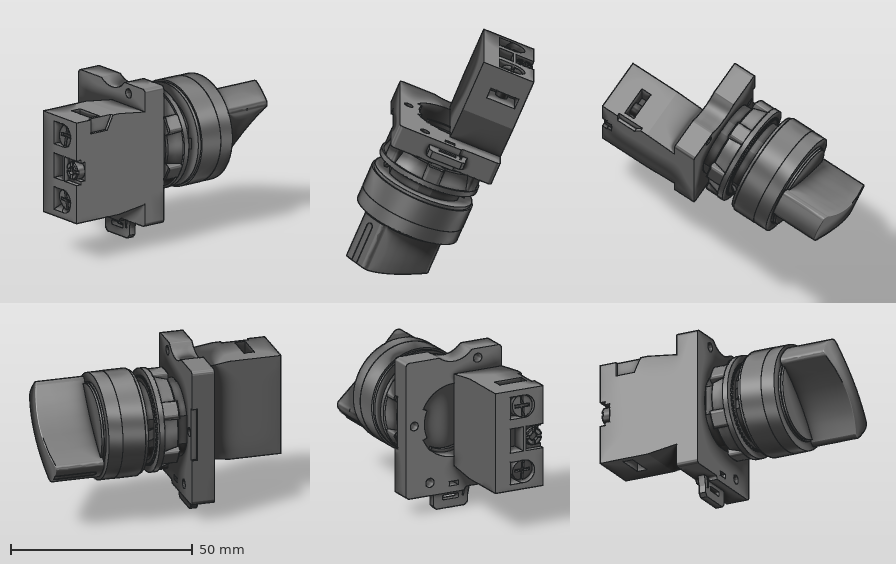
import cadquery as cq
import math


PLATE_WIDTH = 30.0
PLATE_THICKNESS = 6.5
PLATE_HEIGHT = 39.5
PLATE_TOP = 19.6
PLATE_STEP = 1.0
PLATE_BOTTOM = PLATE_TOP - PLATE_HEIGHT
PLATE_CORNER = 1.1
NOTCH_RADIUS = 7.4
NOTCH_FLOOR = 17.0
NOTCH_LIP_RADIUS = 1.0
BOTTOM_STEP_X = 3.4
FIXING_HOLE_DIAMETER = 2.6
FIXING_HOLES = [(7.5, 16.85), (-7.5, -17.15)]
SIDE_HOLE_DIAMETER = 2.5
SIDE_HOLE_X = -12.4
LATCH_WINDOW = (2.8, 1.3)
LATCH_WINDOW_Z = -18.4
SIDE_RECESS_HEIGHT = 15.1
SIDE_RECESS_LENGTH = 1.6
SIDE_RECESS_DEPTH = 0.8

BORE_RADIUS = 10.6
KEY_RADIUS = 9.25
KEY_HALF_ANGLE = 25.0
LIP_RADIUS = 9.7
LIP_HALF_ANGLE = 27.0
LIP_THICKNESS = 1.2
LIP_RECESS = 4.5

TAB_HALF_WIDTH = 5.4
TAB_BOTTOM = -25.9
TAB_CHAMFER = 1.0
TAB_FRONT_Y = -2.6
TAB_THICKNESS = 2.0
TAB_FLARE = 0.6
TAB_FLARE_START = -23.0
TAB_SLOT = (5.0, 1.35)
TAB_SLOT_Z = -22.8
TAB_SLOT_CORNER = 0.4
TAB_RELIEF_X = 3.7
TAB_RELIEF_TOP_WIDTH = 0.8
TAB_RELIEF_TIP_WIDTH = 0.4

BLOCK_WIDTH = 15.0
BLOCK_END_Y = -30.45
BLOCK_TAPER_Y = -15.55
BLOCK_HALF_HEIGHT = 14.5
BLOCK_ROOT_HALF_HEIGHT = 13.3
POCKET_LEFT_X = 4.75
SCREW_X = 9.05
SCREW_Z = 9.3
SCREW_HEAD_DIAMETER = 6.2
SCREW_SHANK_DIAMETER = 3.5
SCREW_RECESS = 1.1
SCREW_HEAD_HEIGHT = 2.0
SCREW_TILT = 10.0
CROSS_WIDTH = 0.8
CROSS_LENGTH = 4.6
CROSS_DEPTH = 0.8
POCKET_BOTTOM_Z = 6.2
POCKET_HEIGHT = 6.5
POCKET_RAMP = 1.2
CENTRE_POCKET_HEIGHT = 7.05
CENTRE_POCKET_WIDTH = 4.1
CENTRE_POCKET_DEPTH = 5.0
OPEN_POCKET_X = 9.65
OPEN_POCKET_DEPTH = 1.5
SMALL_SCREW_X = 12.35
SMALL_HEAD_DIAMETER = 5.0
SMALL_HEAD_RECESS = 0.3
SMALL_HEAD_CHAMFER = 0.3
SMALL_CROSS_DEPTH = 0.6
SMALL_SOCKET_DIAMETER = 2.4
SMALL_SOCKET_DEPTH = 1.2
SMALL_POCKET_DIAMETER = 5.3
SMALL_POCKET_DEPTH = 3.0
SMALL_CROSS_WIDTH = 0.9
WIRE_SLOT_LEFT_X = POCKET_LEFT_X
WIRE_SLOT_RIGHT_X = 13.1
WIRE_SLOT_Y = (-24.25, -21.25)
SIDE_NOTCH_DEPTH = 0.9
SIDE_NOTCH_Y = (-25.45, -17.75)
SIDE_NOTCH_HEIGHT = 4.0
SIDE_NOTCH_RAMP = 2.0

NECK_RADIUS = 10.95
NECK_HALF_WIDTH = 10.15
NECK_HALF_HEIGHT = 10.78
WASHER_RADIUS = 12.6
WASHER_Y = (9.15, 9.55)
WASHER_TEETH = 56
WASHER_GAP = (0.6, 0.7)
SPRING_WIDTH = 3.0
SPRING_THICKNESS = 0.95
SPRING_ROOT_X = 10.3
SPRING_TIP_X = 12.05
SPRING_TIP_Y = 12.0
NUT_RADIUS = 14.5
NUT_FLANGE_Y = (7.6, 9.15)
NUT_END_Y = 2.95
NUT_CHAMFER = 0.4
NUT_RIBS = 6
NUT_RIB_WIDTH = 5.0
NUT_RIB_FILLET = 0.95
NUT_CONE_RADII = (12.5, 13.9)

GASKET_RADIUS = 14.5
COLLAR_RADIUS = 15.0
BEZEL_RADIUS = 14.95
GASKET_Y = 12.45
COLLAR_Y = 13.35
BEZEL_Y = 19.95
BEZEL_END_Y = 24.0
DISC_RADIUS = 12.4
DISC_END_Y = 24.55
INNER_DISC_RADIUS = 12.0
INNER_DISC_END_Y = 25.15
GRIP_ANGLE = 45.0
GRIP_END_RADIUS = 14.25
GRIP_END_HALF_WIDTH = 4.45
GRIP_WAIST_HALF_WIDTH = 2.9
GRIP_CORNER = 1.5
GRIP_TOP_Y = 40.05
GRIP_SHOULDER_Y = 38.15
GRIP_EDGE = 0.25
POINTER_WIDTH = 2.0
POINTER_DEPTH = 0.2
POINTER_START_Y = 26.15

OVERLAP = 0.5


def section(y_start):
    """Workplane at the given Y whose local axes are X and Z."""
    return cq.Workplane("XZ", origin=(0, y_start, 0))


def along_y(profile, length):
    """Extrude an X-Z profile toward +Y."""
    return profile.extrude(-length)


def rod(radius, y_start, y_end, x=0.0, z=0.0):
    return along_y(section(y_start).center(x, z).circle(radius), y_end - y_start)


def box(x_range, y_range, z_range):
    """Axis-aligned block from (low, high) pairs."""
    size = [high - low for low, high in (x_range, y_range, z_range)]
    corner = (x_range[0], y_range[0], z_range[0])
    return cq.Workplane(cq.Solid.makeBox(*size, cq.Vector(*corner)))


def sector(inner, outer, centre_angle, half_angle, y_start, y_end):
    """Ring segment around the shaft axis."""
    def polar(radius, offset):
        angle = math.radians(centre_angle + offset)
        return (radius * math.cos(angle), radius * math.sin(angle))

    profile = (
        section(y_start)
        .moveTo(*polar(inner, -half_angle))
        .lineTo(*polar(outer, -half_angle))
        .threePointArc(polar(outer, 0), polar(outer, half_angle))
        .lineTo(*polar(inner, half_angle))
        .threePointArc(polar(inner, 0), polar(inner, -half_angle))
        .close()
    )
    return along_y(profile, y_end - y_start)


def round_corners(plate, points, radius):
    """Fillet the edges along Y that stand on the given X-Z points."""
    mid_y = -PLATE_THICKNESS / 2
    for x, z in points:
        plate = plate.edges(cq.selectors.NearestToPointSelector((x, mid_y, z))).fillet(radius)
    return plate


def make_plate():
    half = PLATE_WIDTH / 2
    left_top = PLATE_TOP - PLATE_STEP
    left_bottom = PLATE_BOTTOM - PLATE_STEP
    notch_centre = NOTCH_FLOOR + NOTCH_RADIUS
    notch_left = -math.sqrt(NOTCH_RADIUS**2 - (notch_centre - left_top) ** 2)
    notch_right = math.sqrt(NOTCH_RADIUS**2 - (notch_centre - PLATE_TOP) ** 2)
    outline = (
        section(-PLATE_THICKNESS)
        .moveTo(-half, left_bottom)
        .lineTo(-half, left_top)
        .lineTo(notch_left, left_top)
        .threePointArc((0, NOTCH_FLOOR), (notch_right, PLATE_TOP))
        .lineTo(half, PLATE_TOP)
        .lineTo(half, PLATE_BOTTOM)
        .lineTo(BOTTOM_STEP_X + PLATE_STEP, PLATE_BOTTOM)
        .radiusArc((BOTTOM_STEP_X, left_bottom), -PLATE_STEP)
        .close()
    )
    plate = along_y(outline, PLATE_THICKNESS)
    corners = [(-half, left_top), (-half, left_bottom), (half, PLATE_TOP), (half, PLATE_BOTTOM)]
    plate = round_corners(plate, corners, PLATE_CORNER)
    notch_lips = [(notch_left, left_top), (notch_right, PLATE_TOP)]
    plate = round_corners(plate, notch_lips, NOTCH_LIP_RADIUS)

    for x, z in FIXING_HOLES:
        plate = plate.cut(rod(FIXING_HOLE_DIAMETER / 2, -PLATE_THICKNESS, 0, x, z))
    plate = plate.cut(rod(SIDE_HOLE_DIAMETER / 2, -PLATE_THICKNESS, 0, SIDE_HOLE_X))
    window = section(-PLATE_THICKNESS).center(0, LATCH_WINDOW_Z).rect(*LATCH_WINDOW)
    plate = plate.cut(along_y(window, PLATE_THICKNESS))
    recess_half = SIDE_RECESS_HEIGHT / 2
    recess = box(
        (-half, -half + SIDE_RECESS_DEPTH), (-SIDE_RECESS_LENGTH, 0), (-recess_half, recess_half)
    )
    return plate.cut(recess)


def cut_bore(plate):
    """Bore through the plate, with a key on the left and a lip above and below."""
    plate = plate.cut(rod(BORE_RADIUS, -PLATE_THICKNESS, 0))
    outer = BORE_RADIUS + OVERLAP
    plate = plate.union(sector(KEY_RADIUS, outer, 180, KEY_HALF_ANGLE, -PLATE_THICKNESS, 0))
    lip_y = LIP_RECESS - PLATE_THICKNESS
    for angle in (90, 270):
        plate = plate.union(
            sector(LIP_RADIUS, outer, angle, LIP_HALF_ANGLE, lip_y, lip_y + LIP_THICKNESS)
        )
    return plate


def make_tab():
    root = PLATE_BOTTOM - PLATE_STEP + OVERLAP
    outline = (
        section(TAB_FRONT_Y - TAB_THICKNESS)
        .moveTo(-TAB_HALF_WIDTH, root)
        .lineTo(-TAB_HALF_WIDTH, TAB_BOTTOM + TAB_CHAMFER)
        .lineTo(-TAB_HALF_WIDTH + TAB_CHAMFER, TAB_BOTTOM)
        .lineTo(TAB_HALF_WIDTH - TAB_CHAMFER, TAB_BOTTOM)
        .lineTo(TAB_HALF_WIDTH, TAB_BOTTOM + TAB_CHAMFER)
        .lineTo(TAB_HALF_WIDTH, TAB_FLARE_START)
        .lineTo(TAB_HALF_WIDTH + TAB_FLARE, PLATE_BOTTOM)
        .lineTo(BOTTOM_STEP_X, PLATE_BOTTOM)
        .lineTo(BOTTOM_STEP_X, root)
        .close()
    )
    tab = along_y(outline, TAB_THICKNESS)
    slot = section(TAB_FRONT_Y - TAB_THICKNESS).center(0, TAB_SLOT_Z).rect(*TAB_SLOT)
    tab = tab.cut(along_y(slot, TAB_THICKNESS).edges("|Y").fillet(TAB_SLOT_CORNER))
    relief = (
        section(TAB_FRONT_Y - TAB_THICKNESS)
        .moveTo(TAB_RELIEF_X, PLATE_BOTTOM - PLATE_STEP / 2)
        .lineTo(TAB_RELIEF_X, TAB_FLARE_START)
        .lineTo(TAB_RELIEF_X + TAB_RELIEF_TIP_WIDTH, TAB_FLARE_START)
        .lineTo(TAB_RELIEF_X + TAB_RELIEF_TOP_WIDTH, PLATE_BOTTOM)
        .close()
    )
    return tab.cut(along_y(relief, TAB_THICKNESS))


def cross(x, z, width, x_length, z_length, y_start, depth):
    """Cross-shaped driver slot opening toward -Y."""
    across = section(y_start).center(x, z).rect(x_length, width)
    upright = section(y_start).center(x, z).rect(width, z_length)
    return along_y(across, depth).union(along_y(upright, depth))


def make_block():
    outline = (
        cq.Workplane("YZ")
        .moveTo(BLOCK_END_Y, -BLOCK_HALF_HEIGHT)
        .lineTo(BLOCK_TAPER_Y, -BLOCK_HALF_HEIGHT)
        .lineTo(-PLATE_THICKNESS, -BLOCK_ROOT_HALF_HEIGHT)
        .lineTo(-PLATE_THICKNESS, BLOCK_ROOT_HALF_HEIGHT)
        .lineTo(BLOCK_TAPER_Y, BLOCK_HALF_HEIGHT)
        .lineTo(BLOCK_END_Y, BLOCK_HALF_HEIGHT)
        .close()
    )
    block = outline.extrude(BLOCK_WIDTH)
    for side in (1, -1):
        block = add_terminal(block, side)
    block = add_centre_pockets(block)
    return block.cut(make_side_notch())


def add_terminal(block, side):
    """Wire slot, screw pocket and clamp screw; side is +1 for the upper, -1 for the lower terminal."""
    head_y = BLOCK_END_Y + SCREW_RECESS
    floor_y = head_y + SCREW_HEAD_HEIGHT
    round_radius = POCKET_HEIGHT / 2
    inner_z = side * POCKET_BOTTOM_Z
    outer_z = side * (POCKET_BOTTOM_Z + POCKET_HEIGHT)
    ramped = (
        cq.Workplane("YZ", origin=(POCKET_LEFT_X, 0, 0))
        .moveTo(BLOCK_END_Y, inner_z)
        .lineTo(floor_y, inner_z)
        .lineTo(floor_y, outer_z - side * POCKET_RAMP)
        .lineTo(BLOCK_END_Y, outer_z)
        .close()
        .extrude(SCREW_X - POCKET_LEFT_X)
    )
    block = block.cut(ramped)
    block = block.cut(rod(round_radius, BLOCK_END_Y, floor_y, SCREW_X, inner_z + side * round_radius))

    slot_z = sorted((inner_z, side * BLOCK_HALF_HEIGHT))
    block = block.cut(box((WIRE_SLOT_LEFT_X, WIRE_SLOT_RIGHT_X), WIRE_SLOT_Y, slot_z))

    screw_z = side * SCREW_Z
    head = rod(SCREW_HEAD_DIAMETER / 2, head_y, floor_y + OVERLAP, SCREW_X, screw_z)
    head = head.cut(
        cross(SCREW_X, screw_z, CROSS_WIDTH, CROSS_LENGTH, SCREW_HEAD_DIAMETER, head_y, CROSS_DEPTH)
    )
    shank_end = WIRE_SLOT_Y[1] + OVERLAP
    shank = rod(SCREW_SHANK_DIAMETER / 2, floor_y, shank_end, SCREW_X, screw_z)
    screw = head.union(shank).rotate((0, head_y, screw_z), (1, head_y, screw_z), -side * SCREW_TILT)
    return block.union(screw)


def add_centre_pockets(block):
    half = CENTRE_POCKET_HEIGHT / 2
    closed_x = (POCKET_LEFT_X, POCKET_LEFT_X + CENTRE_POCKET_WIDTH)
    block = block.cut(box(closed_x, (BLOCK_END_Y, BLOCK_END_Y + CENTRE_POCKET_DEPTH), (-half, half)))
    floor_y = BLOCK_END_Y + OPEN_POCKET_DEPTH
    block = block.cut(box((OPEN_POCKET_X, BLOCK_WIDTH), (BLOCK_END_Y, floor_y), (-half, half)))

    deep_floor_y = BLOCK_END_Y + SMALL_POCKET_DEPTH
    deep_radius = SMALL_POCKET_DIAMETER / 2
    deep_pocket = (
        section(floor_y)
        .moveTo(BLOCK_WIDTH, -deep_radius)
        .lineTo(SMALL_SCREW_X, -deep_radius)
        .threePointArc((SMALL_SCREW_X - deep_radius, 0), (SMALL_SCREW_X, deep_radius))
        .lineTo(BLOCK_WIDTH, deep_radius)
        .close()
    )
    block = block.cut(along_y(deep_pocket, deep_floor_y - floor_y))

    head_y = BLOCK_END_Y + SMALL_HEAD_RECESS
    head = rod(SMALL_HEAD_DIAMETER / 2, head_y, deep_floor_y + OVERLAP, SMALL_SCREW_X)
    head = head.faces("<Y").chamfer(SMALL_HEAD_CHAMFER)
    socket = rod(SMALL_SOCKET_DIAMETER / 2, head_y, head_y + SMALL_SOCKET_DEPTH, SMALL_SCREW_X)
    arms = cross(
        SMALL_SCREW_X, 0, SMALL_CROSS_WIDTH, SMALL_HEAD_DIAMETER, SMALL_HEAD_DIAMETER,
        head_y, SMALL_CROSS_DEPTH,
    )
    return block.union(head.cut(socket).cut(arms))


def make_side_notch():
    """Notch with a sloping end in the upper +X edge of the contact block."""
    outline = (
        cq.Workplane("YZ", origin=(BLOCK_WIDTH - SIDE_NOTCH_DEPTH, 0, 0))
        .moveTo(SIDE_NOTCH_Y[0], BLOCK_HALF_HEIGHT)
        .lineTo(SIDE_NOTCH_Y[0], BLOCK_HALF_HEIGHT - SIDE_NOTCH_HEIGHT)
        .lineTo(SIDE_NOTCH_Y[1] - SIDE_NOTCH_RAMP, BLOCK_HALF_HEIGHT - SIDE_NOTCH_HEIGHT)
        .lineTo(SIDE_NOTCH_Y[1], BLOCK_HALF_HEIGHT)
        .close()
    )
    return outline.extrude(SIDE_NOTCH_DEPTH)


def make_neck():
    neck = rod(NECK_RADIUS, 0, GASKET_Y)
    flats = section(0).rect(2 * NECK_HALF_WIDTH, 2 * NECK_HALF_HEIGHT)
    return neck.intersect(along_y(flats, GASKET_Y))


def make_washer():
    washer = rod(WASHER_RADIUS, *WASHER_Y)
    gap_depth, gap_width = WASHER_GAP
    gaps = (
        section(WASHER_Y[0])
        .polarArray(WASHER_RADIUS, 0, 360, WASHER_TEETH)
        .rect(2 * gap_depth, gap_width)
    )
    washer = washer.cut(along_y(gaps, WASHER_Y[1] - WASHER_Y[0]))
    leaf = (
        cq.Workplane("XY", origin=(0, 0, -SPRING_WIDTH / 2))
        .moveTo(SPRING_ROOT_X - SPRING_THICKNESS, WASHER_Y[0])
        .lineTo(SPRING_ROOT_X, WASHER_Y[0])
        .lineTo(SPRING_TIP_X, SPRING_TIP_Y)
        .lineTo(SPRING_TIP_X - SPRING_THICKNESS, SPRING_TIP_Y)
        .close()
        .extrude(SPRING_WIDTH)
    )
    return washer.union(leaf).union(leaf.mirror("YZ"))


def make_nut():
    """Ring nut: a flange and a cone that carries straight grip ribs."""
    flange = rod(NUT_RADIUS, *NUT_FLANGE_Y)
    length = NUT_FLANGE_Y[0] - NUT_END_Y
    cone = cq.Workplane(
        cq.Solid.makeCone(*NUT_CONE_RADII, length, cq.Vector(0, NUT_END_Y, 0), cq.Vector(0, 1, 0))
    )
    cone = cone.faces("<Y").chamfer(NUT_CHAMFER)
    envelope = rod(NUT_RADIUS, NUT_END_Y, NUT_FLANGE_Y[0]).faces("<Y").chamfer(NUT_CHAMFER)
    root_radius = NUT_CONE_RADII[0] - OVERLAP
    rib_flat = NUT_RIB_WIDTH / 2 - NUT_RIB_FILLET
    rib_top = math.sqrt(NUT_RADIUS**2 - rib_flat**2)
    rib = box(
        (-NUT_RIB_WIDTH / 2, NUT_RIB_WIDTH / 2),
        (NUT_END_Y, NUT_FLANGE_Y[0]),
        (root_radius, rib_top),
    )
    rib = rib.faces(">Z").edges("|Y").fillet(NUT_RIB_FILLET).intersect(envelope)
    body = cone
    for index in range(NUT_RIBS):
        body = body.union(rib.rotate((0, 0, 0), (0, 1, 0), index * 360 / NUT_RIBS))
    return flange.union(body)


def make_collar():
    collar = rod(GASKET_RADIUS, GASKET_Y, COLLAR_Y)
    collar = collar.union(rod(COLLAR_RADIUS, COLLAR_Y, BEZEL_Y))
    collar = collar.union(rod(BEZEL_RADIUS, BEZEL_Y, BEZEL_END_Y))
    collar = collar.union(rod(DISC_RADIUS, BEZEL_END_Y, DISC_END_Y))
    return collar.union(rod(INNER_DISC_RADIUS, DISC_END_Y, INNER_DISC_END_Y))


def make_grip():
    """Waisted grip with a crowned top, built along X and turned about the shaft axis."""
    radius, width, waist = GRIP_END_RADIUS, GRIP_END_HALF_WIDTH, GRIP_WAIST_HALF_WIDTH
    corner_x = math.sqrt(radius**2 - width**2)
    plan = (
        section(DISC_END_Y)
        .moveTo(-corner_x, -width)
        .threePointArc((0, -waist), (corner_x, -width))
        .threePointArc((radius, 0), (corner_x, width))
        .threePointArc((0, waist), (-corner_x, width))
        .threePointArc((-radius, 0), (-corner_x, -width))
        .close()
    )
    grip = along_y(plan, GRIP_TOP_Y - DISC_END_Y).edges("|Y").fillet(GRIP_CORNER)
    crown = (
        cq.Workplane("XY", origin=(0, 0, -COLLAR_RADIUS))
        .moveTo(-radius, DISC_END_Y)
        .lineTo(-radius, GRIP_SHOULDER_Y)
        .threePointArc((0, GRIP_TOP_Y), (radius, GRIP_SHOULDER_Y))
        .lineTo(radius, DISC_END_Y)
        .close()
        .extrude(2 * COLLAR_RADIUS)
    )
    grip = grip.intersect(crown)
    grip = grip.faces(">Y").edges().fillet(GRIP_EDGE)
    pointer_half = POINTER_WIDTH / 2
    pointer = box(
        (-radius, -radius + POINTER_DEPTH),
        (POINTER_START_Y + pointer_half, GRIP_TOP_Y),
        (-pointer_half, pointer_half),
    )
    pointer_tip = (
        cq.Workplane("YZ", origin=(-radius, POINTER_START_Y + pointer_half, 0))
        .circle(pointer_half)
        .extrude(POINTER_DEPTH)
    )
    grip = grip.cut(pointer).cut(pointer_tip)
    return grip.rotate((0, 0, 0), (0, 1, 0), -GRIP_ANGLE)


result = (
    cut_bore(make_plate())
    .union(make_tab())
    .union(make_block())
    .union(make_neck())
    .union(make_nut())
    .union(make_washer())
    .union(make_collar())
    .union(make_grip())
)